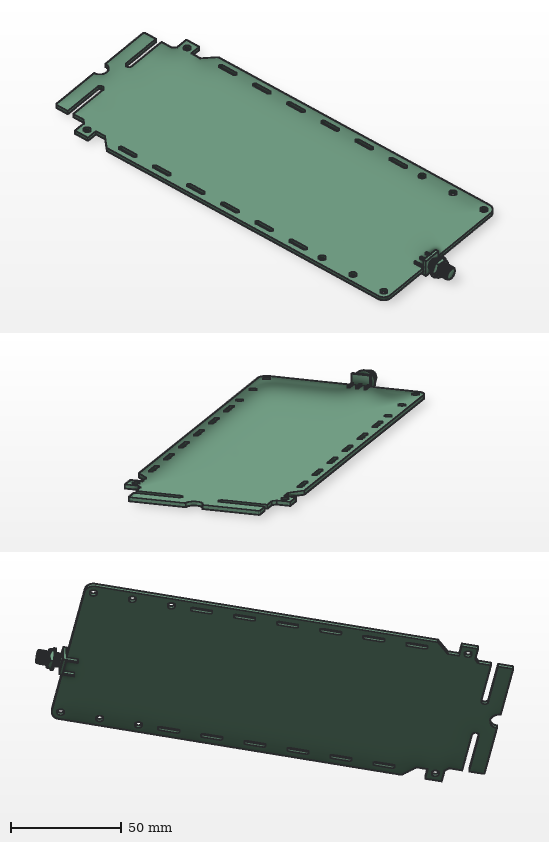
import cadquery as cq
import math

BOARD_LENGTH = 200.0
BOARD_WIDTH = 80.0
BOARD_THICKNESS = 2.0
HALF_WIDTH = BOARD_WIDTH / 2
EDGE_INSET = 4.0
BOARD_CORNER_RADIUS = EDGE_INSET
ROW_Y = HALF_WIDTH - EDGE_INSET

HOLE_DIAMETER = 3.5
EAR_HOLE_X = 22.0
REAR_HOLE_COUNT = 3
REAR_HOLE_PITCH = 18.0

SLOT_COUNT = 6
SLOT_PITCH = 20.0
FIRST_SLOT_X = 45.7
SLOT_LENGTH = 10.0
SLOT_WIDTH = 2.0

TONGUE_HALF_WIDTH = 31.7
TONGUE_CORNER_RADIUS = 0.6
EAR_START_X = 18.0
EAR_END_X = 25.7
EAR_CHAMFER = 1.7
RELIEF_HALF_WIDTH = 34.3
RELIEF_END_X = 31.0
RELIEF_RAMP = HALF_WIDTH - RELIEF_HALF_WIDTH

CUT_CENTER_X = 8.7
CUT_WIDTH = 3.2
CUT_END_Y = 8.7
NOSE_NOTCH_RADIUS = 4.0

AXIS_Y = -8.0
AXIS_RISE = 0.6
AXIS_Z = BOARD_THICKNESS + AXIS_RISE
PIN_WIDTH = 1.0
FLANGE_SIZE = 9.0
FLANGE_THICKNESS = 1.6
FINGER_LENGTH = 5.3
FINGER_WIDTH = 0.9
FINGER_RISE = 0.9

CONNECTOR_END_X = 212.7
NECK_DIAMETER = 5.3
NECK_LENGTH = 0.9
THREAD_DIAMETER = 6.4
THREAD_DEPTH = 0.5
THREAD_PITCH = 0.7
THREAD_END_CHAMFER = 0.5
WASHER_X = 204.9
WASHER_DIAMETER = 10.2
WASHER_THICKNESS = 0.75
NUT_SIDES = 6
NUT_ACROSS_FLATS = 8.3
NUT_THICKNESS = 2.1
NUT_FACE_DIAMETER = 8.0


def board_outline():
    """Solid plate from one long half of the outline, mirrored about the X axis."""
    half = (
        cq.Workplane("XY")
        .moveTo(0, 0)
        .lineTo(0, TONGUE_HALF_WIDTH)
        .lineTo(EAR_START_X - EAR_CHAMFER, TONGUE_HALF_WIDTH)
        .lineTo(EAR_START_X, TONGUE_HALF_WIDTH + EAR_CHAMFER)
        .lineTo(EAR_START_X, HALF_WIDTH)
        .lineTo(EAR_END_X, HALF_WIDTH)
        .lineTo(EAR_END_X, RELIEF_HALF_WIDTH)
        .lineTo(RELIEF_END_X, RELIEF_HALF_WIDTH)
        .lineTo(RELIEF_END_X + RELIEF_RAMP, HALF_WIDTH)
        .lineTo(BOARD_LENGTH, HALF_WIDTH)
        .lineTo(BOARD_LENGTH, 0)
        .mirrorX()
        .extrude(BOARD_THICKNESS)
    )
    rounded = half.edges("|Z and >X").fillet(BOARD_CORNER_RADIUS)
    return rounded.edges("|Z and <X").fillet(TONGUE_CORNER_RADIUS)


def through_cut(sketch):
    """Turn closed wires on the XY plane into a cutter as tall as the board."""
    return sketch.extrude(BOARD_THICKNESS)


def round_holes():
    last_hole_x = BOARD_LENGTH - EDGE_INSET
    hole_xs = [EAR_HOLE_X] + [last_hole_x - i * REAR_HOLE_PITCH for i in range(REAR_HOLE_COUNT)]
    centers = [(x, side * ROW_Y) for x in hole_xs for side in (-1, 1)]
    return through_cut(cq.Workplane("XY").pushPoints(centers).circle(HOLE_DIAMETER / 2))


def edge_slots():
    slot_xs = [FIRST_SLOT_X + i * SLOT_PITCH for i in range(SLOT_COUNT)]
    centers = [(x, side * ROW_Y) for x in slot_xs for side in (-1, 1)]
    return through_cut(cq.Workplane("XY").pushPoints(centers).slot2D(SLOT_LENGTH, SLOT_WIDTH))


def tongue_cuts():
    """Two open cuts running in from the tongue sides, each with a rounded end."""
    length = HALF_WIDTH - CUT_END_Y
    centers = [(CUT_CENTER_X, side * (CUT_END_Y + length / 2)) for side in (-1, 1)]
    return through_cut(cq.Workplane("XY").pushPoints(centers).slot2D(length, CUT_WIDTH, 90))


def nose_notch():
    return through_cut(cq.Workplane("XY").circle(NOSE_NOTCH_RADIUS))


def make_board():
    return board_outline().cut(round_holes()).cut(edge_slots()).cut(tongue_cuts()).cut(nose_notch())


def axis_plane(x):
    """Plane across the connector axis: local x is +Y, local y is +Z, normal is +X."""
    return cq.Workplane(cq.Plane((x, AXIS_Y, AXIS_Z), (0, 1, 0), (1, 0, 0)))


def disc(x, diameter, length):
    return axis_plane(x).circle(diameter / 2).extrude(length)


def flange():
    return axis_plane(BOARD_LENGTH).rect(FLANGE_SIZE, FLANGE_SIZE).extrude(FLANGE_THICKNESS)


def finger(y, width, bottom_z, top_z):
    """Bar lying on the board, from its tip to the flange."""
    return cq.Workplane("XY").box(
        FINGER_LENGTH, width, top_z - bottom_z, centered=(False, True, False)
    ).translate((BOARD_LENGTH - FINGER_LENGTH, y, bottom_z))


def fingers():
    """Centre pin on top, and a pair of ground fingers on each side of the board."""
    upper_top = BOARD_THICKNESS + FINGER_RISE
    bars = finger(AXIS_Y, PIN_WIDTH, BOARD_THICKNESS, upper_top)
    lower_bottom = AXIS_Z - FLANGE_SIZE / 2
    offset = (FLANGE_SIZE - FINGER_WIDTH) / 2
    for side in (-1, 1):
        y = AXIS_Y + side * offset
        bars = bars.add(finger(y, FINGER_WIDTH, BOARD_THICKNESS, upper_top))
        bars = bars.add(finger(y, FINGER_WIDTH, lower_bottom, 0))
    return bars.vals()


def threaded_barrel():
    """Neck and threaded barrel; the thread is a row of V-shaped ridges."""
    neck_x = BOARD_LENGTH + FLANGE_THICKNESS
    thread_x = neck_x + NECK_LENGTH
    thread_length = CONNECTOR_END_X - thread_x
    ridge_count = round(thread_length / THREAD_PITCH)
    pitch = thread_length / ridge_count
    crest = THREAD_DIAMETER / 2
    root = crest - THREAD_DEPTH

    profile = cq.Workplane("XY", origin=(0, AXIS_Y, AXIS_Z)).moveTo(neck_x, 0)
    profile = profile.lineTo(neck_x, NECK_DIAMETER / 2).lineTo(thread_x, NECK_DIAMETER / 2)
    for i in range(ridge_count):
        start = thread_x + i * pitch
        profile = profile.lineTo(start + pitch / 2, crest).lineTo(start + pitch, root)
    profile = profile.lineTo(CONNECTOR_END_X, 0).close()
    barrel = profile.revolve(360, (0, 0, 0), (1, 0, 0))
    envelope = disc(neck_x, THREAD_DIAMETER, CONNECTOR_END_X - neck_x)
    return barrel.intersect(envelope.faces(">X").chamfer(THREAD_END_CHAMFER))


def hex_nut(x):
    """Hexagon with corners toward +Y and -Y, its outer corners bevelled by a cone."""
    across_corners = NUT_ACROSS_FLATS / math.cos(math.pi / NUT_SIDES)
    blank = axis_plane(x).polygon(NUT_SIDES, across_corners).extrude(NUT_THICKNESS)
    face_radius = NUT_FACE_DIAMETER / 2
    cone_radius = face_radius + NUT_THICKNESS
    cone = (
        cq.Workplane("XY", origin=(x, AXIS_Y, AXIS_Z))
        .polyline([(0, 0), (0, cone_radius), (NUT_THICKNESS, face_radius), (NUT_THICKNESS, 0)])
        .close()
        .revolve(360, (0, 0, 0), (1, 0, 0))
    )
    return blank.intersect(cone)


def make_connector():
    connector = flange()
    for bar in fingers():
        connector = connector.union(cq.Workplane(bar))
    washer = disc(WASHER_X, WASHER_DIAMETER, WASHER_THICKNESS)
    nut = hex_nut(WASHER_X + WASHER_THICKNESS)
    return connector.union(threaded_barrel()).union(washer).union(nut)


board = make_board()
connector = make_connector()

result = cq.Compound.makeCompound([board.val(), connector.val()])